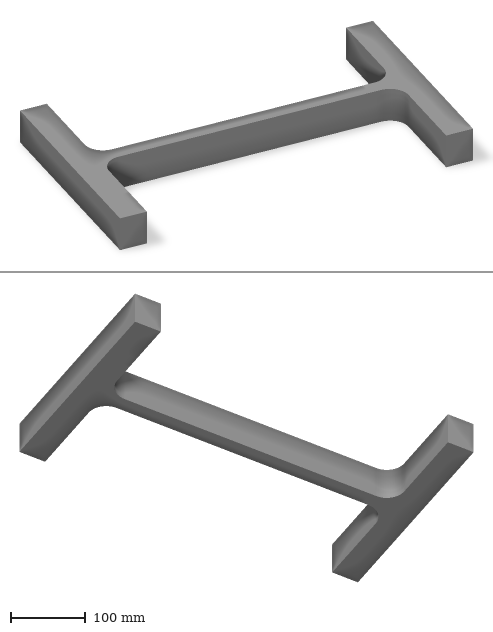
import cadquery as cq

section_depth = 524.0
flange_width = 306.0
beam_length = 50.0
flange_thickness = 40.0
web_thickness = 21.0
root_radius = 27.0

web_height = section_depth - 2 * flange_thickness
flange_offset = (section_depth - flange_thickness) / 2

web = cq.Workplane("XY").box(web_thickness, web_height, beam_length)

flanges = (
    cq.Workplane("XY")
    .pushPoints([(0, -flange_offset), (0, flange_offset)])
    .box(flange_width, flange_thickness, beam_length)
)

beam = web.union(flanges)

root_corners = cq.selectors.BoxSelector(
    (-web_thickness, -section_depth / 2, -beam_length),
    (web_thickness, section_depth / 2, beam_length),
)
result = beam.edges("|Z").edges(root_corners).fillet(root_radius)